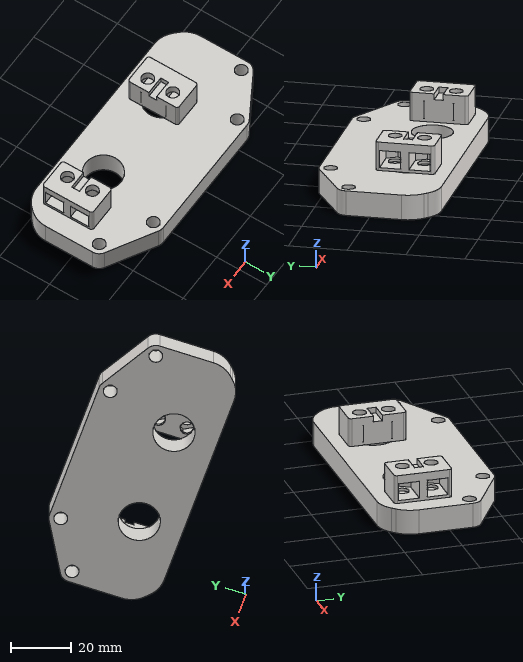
import cadquery as cq
import math

plate_length = 92.6
plate_width = 44.0
plate_thickness = 8.7
front_chamfer = 7.0
front_blend_radius = 10.0

screw_diameter = 4.5
screw_rim = 4.0
screw_pitch = 20.0
slope_angle = math.radians(30)
outer_screw_x = plate_length / 2 - screw_rim
inner_screw_y = plate_width / 2 - screw_rim
outer_screw = (outer_screw_x, inner_screw_y - screw_pitch * math.sin(slope_angle))
inner_screw = (outer_screw_x - screw_pitch * math.cos(slope_angle), inner_screw_y)

opening_diameter = 14.0
opening_x = 17.5
row_to_front = 15.0
row_y = -plate_width / 2 + row_to_front

block_length = 12.0
block_width = 20.0
block_height = 10.0
block_corner_radius = 1.0
left_block_x = -18.0
right_block_x = 33.1

nut_offset_x = 1.6
nut_spacing = 10.0
nut_flats = 7.2
nut_height = 6.0
nut_floor = 1.0
notch_length = 7.0
notch_width = 3.1
notch_depth = 2.0


def rim_point(center, angle):
    """Point on the rounded rim around a screw hole, at an angle from +X."""
    return (center[0] + screw_rim * math.cos(angle), center[1] + screw_rim * math.sin(angle))


def mirrored(point):
    """The matching point on the -X side."""
    return (-point[0], point[1])


def make_plate():
    half_length = plate_length / 2
    half_width = plate_width / 2
    normal_angle = math.pi / 2 - slope_angle
    outer_start = rim_point(outer_screw, 0)
    outer_middle = rim_point(outer_screw, normal_angle / 2)
    outer_end = rim_point(outer_screw, normal_angle)
    inner_start = rim_point(inner_screw, normal_angle)
    inner_middle = rim_point(inner_screw, (normal_angle + math.pi / 2) / 2)
    inner_end = rim_point(inner_screw, math.pi / 2)

    plate = (
        cq.Workplane("XY")
        .moveTo(-half_length + front_chamfer, -half_width)
        .lineTo(half_length - front_chamfer, -half_width)
        .lineTo(half_length, -half_width + front_chamfer)
        .lineTo(*outer_start)
        .threePointArc(outer_middle, outer_end)
        .lineTo(*inner_start)
        .threePointArc(inner_middle, inner_end)
        .lineTo(*mirrored(inner_end))
        .threePointArc(mirrored(inner_middle), mirrored(inner_start))
        .lineTo(*mirrored(outer_end))
        .threePointArc(mirrored(outer_middle), mirrored(outer_start))
        .lineTo(-half_length, -half_width + front_chamfer)
        .close()
        .extrude(plate_thickness)
    )
    front_region = cq.selectors.BoxSelector(
        (-plate_length, -plate_width, 0),
        (plate_length, row_y, plate_thickness),
    )
    plate = plate.edges("|Z").edges(front_region).fillet(front_blend_radius)

    screws = [outer_screw, inner_screw, mirrored(inner_screw), mirrored(outer_screw)]
    openings = [(-opening_x, row_y), (opening_x, row_y)]
    for centers, diameter in ((screws, screw_diameter), (openings, opening_diameter)):
        holes = cq.Workplane("XY").pushPoints(centers).circle(diameter / 2).extrude(plate_thickness)
        plate = plate.cut(holes)
    return plate


def make_block():
    """Block centred on its base: nut traps open toward -X, notch opens toward +X."""
    block = (
        cq.Workplane("XY")
        .rect(block_length, block_width)
        .extrude(block_height)
        .edges("|Z")
        .fillet(block_corner_radius)
    )
    half_flats = nut_flats / 2
    half_hexagon_side = half_flats * math.tan(math.pi / 6)
    shoulder_x = nut_offset_x + half_hexagon_side
    tip_x = nut_offset_x + 2 * half_hexagon_side
    for y in (-nut_spacing / 2, nut_spacing / 2):
        hole = cq.Workplane("XY").center(nut_offset_x, y).circle(screw_diameter / 2).extrude(block_height)
        trap = (
            cq.Workplane("XY", origin=(0, 0, nut_floor))
            .polyline([
                (-block_length / 2, y - half_flats),
                (shoulder_x, y - half_flats),
                (tip_x, y),
                (shoulder_x, y + half_flats),
                (-block_length / 2, y + half_flats),
            ])
            .close()
            .extrude(nut_height)
        )
        block = block.cut(hole).cut(trap)
    notch = (
        cq.Workplane("XY", origin=((block_length - notch_length) / 2, 0, block_height - notch_depth))
        .rect(notch_length, notch_width)
        .extrude(notch_depth)
    )
    return block.cut(notch)


block = make_block()
left_block = block.translate((left_block_x, row_y, plate_thickness))
right_block = block.mirror("YZ").translate((right_block_x, row_y, plate_thickness))
result = make_plate().union(left_block).union(right_block)